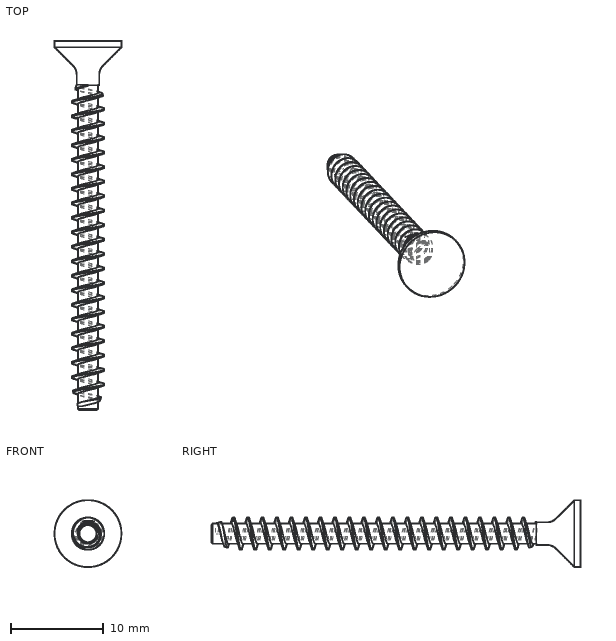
import cadquery as cq
import math


length = 40.0

head_radius = 3.65
rim_height = 0.7
shank_radius = 1.25
neck_fillet = 1.35
head_half_angle = math.radians(45)
shank_end = 4.8

core_diameter = 2.2
core_radius = core_diameter / 2
tip_radius = 0.9
tip_chamfer_length = 0.15

thread_start = 4.65
thread_end = 39.55
thread_turns = 22.25
thread_pitch = (thread_end - thread_start) / thread_turns
start_angle = 90.0
crest_radius = 1.75
root_width = 0.5
crest_width = 0.1
root_overlap = 0.2

start_crest_radius = 1.2
fade_in_end = 6.2
fade_out_start = 37.6
trim_clearance = 0.1


def make_body():
    """Head, neck, shank and plain core as one revolved outline."""
    neck_rise = neck_fillet * (1 - math.cos(head_half_angle))
    neck_length = neck_fillet * math.sin(head_half_angle)
    neck_radius = shank_radius + neck_rise
    neck_start = rim_height + (head_radius - neck_radius) / math.tan(head_half_angle)
    neck_end = neck_start + neck_length
    neck_middle = (
        shank_radius + neck_fillet * (1 - math.cos(head_half_angle / 2)),
        neck_end - neck_fillet * math.sin(head_half_angle / 2),
    )
    return (
        cq.Workplane("XZ")
        .lineTo(head_radius, 0)
        .lineTo(head_radius, rim_height)
        .lineTo(neck_radius, neck_start)
        .threePointArc(neck_middle, (shank_radius, neck_end))
        .lineTo(shank_radius, shank_end)
        .lineTo(core_radius, shank_end)
        .lineTo(core_radius, length - tip_chamfer_length)
        .lineTo(tip_radius, length)
        .lineTo(0, length)
        .close()
        .revolve(360, (0, 0), (0, 1))
    )


def make_trim_ring(outline):
    """Ring of revolution from (radius, height) points."""
    return cq.Workplane("XZ").polyline(outline).close().revolve(360, (0, 0), (0, 1))


def make_thread():
    """Helical ridge whose crest is trimmed conically at both run-outs."""
    root_radius = core_radius - root_overlap
    half_crest = crest_width / 2
    flank_slope = (root_width - crest_width) / 2 / (crest_radius - core_radius)
    half_root = root_width / 2 + flank_slope * root_overlap
    helix = cq.Wire.makeHelix(thread_pitch, thread_end - thread_start, core_radius)
    ridge = (
        cq.Workplane("XZ")
        .polyline([
            (root_radius, -half_root),
            (crest_radius, -half_crest),
            (crest_radius, half_crest),
            (root_radius, half_root),
        ])
        .close()
        .sweep(cq.Workplane(helix), isFrenet=True)
        .rotate((0, 0, 0), (0, 0, 1), start_angle)
        .translate((0, 0, thread_start))
    )

    ring_radius = crest_radius + root_width
    fade_in_slope = (crest_radius - start_crest_radius) / (fade_in_end - thread_start)
    fade_in_top = fade_in_end + trim_clearance
    start_ring = make_trim_ring([
        (start_crest_radius, thread_start - root_width),
        (start_crest_radius, thread_start),
        (crest_radius + fade_in_slope * trim_clearance, fade_in_top),
        (ring_radius, fade_in_top),
        (ring_radius, thread_start - root_width),
    ])

    fade_out_slope = (crest_radius - core_radius) / (thread_end - fade_out_start)
    fade_out_bottom = fade_out_start - trim_clearance
    end_ring = make_trim_ring([
        (crest_radius + fade_out_slope * trim_clearance, fade_out_bottom),
        (core_radius - fade_out_slope * root_width, thread_end + root_width),
        (ring_radius, thread_end + root_width),
        (ring_radius, fade_out_bottom),
    ])
    return ridge.cut(start_ring).cut(end_ring)


screw = make_body().union(make_thread())
result = screw.rotate((0, 0, 0), (1, 0, 0), 90)